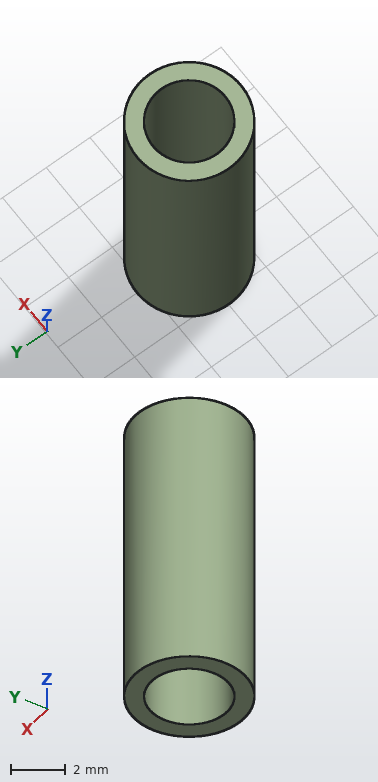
import cadquery as cq

length = 12.0
outer_diameter = 4.76
bore_diameter = 3.3

result = (
    cq.Workplane("XY")
    .circle(outer_diameter / 2)
    .circle(bore_diameter / 2)
    .extrude(length)
)